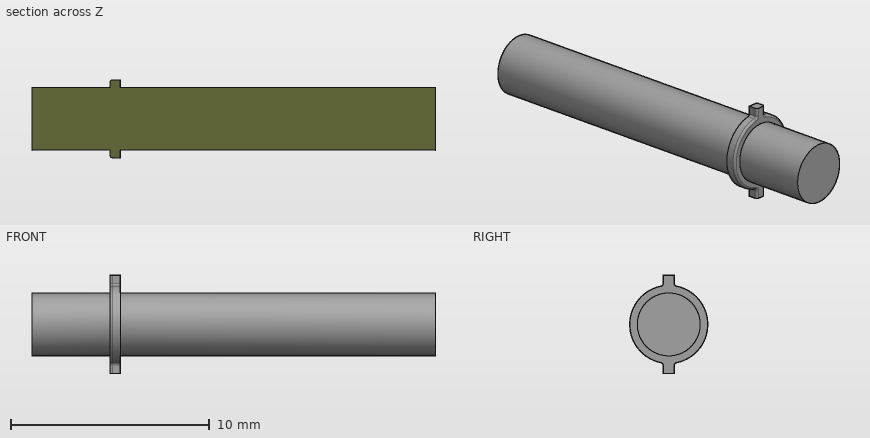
import cadquery as cq

pin_length = 20.32
pin_diameter = 3.17
collar_start = 3.92
collar_thickness = 0.53
collar_diameter = 3.95
lug_span = 4.95
lug_width = 0.57
lug_root_radius = 0.12
front_edge_radius = 0.12


def make_pin():
    return cq.Workplane("YZ").circle(pin_diameter / 2).extrude(pin_length)


def make_collar():
    """Round collar with two opposite lugs, rounded around its front edge except on the lug tips."""
    plane = cq.Workplane("YZ", origin=(collar_start, 0, 0))
    disc = plane.circle(collar_diameter / 2).extrude(collar_thickness)
    lugs = plane.rect(lug_width, lug_span).extrude(collar_thickness)
    collar = disc.union(lugs)

    root_zone = cq.selectors.BoxSelector(
        (collar_start, -lug_width, -collar_diameter / 2),
        (collar_start + collar_thickness, lug_width, collar_diameter / 2),
    )
    collar = collar.edges("|X").edges(root_zone).fillet(lug_root_radius)

    tip_edges = cq.selectors.DirectionMinMaxSelector(cq.Vector(0, 0, 1), True)
    tip_edges += cq.selectors.DirectionMinMaxSelector(cq.Vector(0, 0, 1), False)
    front_edges = cq.selectors.SubtractSelector(cq.selectors.StringSyntaxSelector("<X"), tip_edges)
    return collar.edges(front_edges).fillet(front_edge_radius)


result = make_pin().union(make_collar())